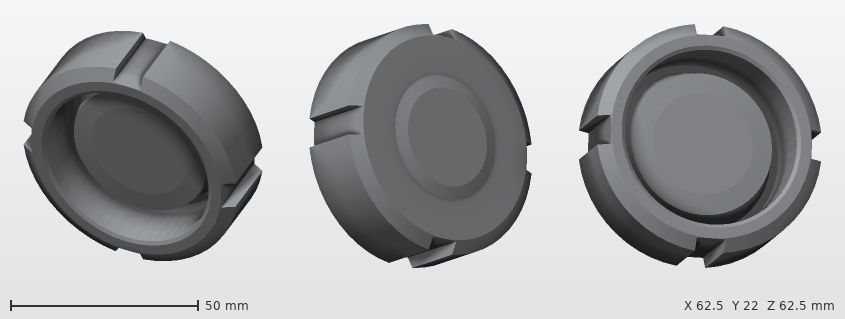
import cadquery as cq
import math

OUTER_DIAMETER = 63.0
BODY_LENGTH = 21.0
FACE_DIAMETER = 56.0
EDGE_CHAMFER_ANGLE = 30.0

BORE_DIAMETER = 48.1
BORE_MOUTH_DIAMETER = 50.1
BORE_LENGTH = 13.0
FLOOR_DEPTH = 18.0
BORE_CHAMFER_ANGLE = 30.0
RELIEF_DIAMETER = 5.5

PLUG_FLAT_DIAMETER = 28.0
PLUG_EDGE_DIAMETER = 39.0
PLUG_ROOT_DIAMETER = 44.0
PLUG_FLAT_DEPTH = 8.0
PLUG_EDGE_DEPTH = 8.5

CROWN_HEIGHT = 1.0
CROWN_STEP_HEIGHT = 0.1
CROWN_TOP_DIAMETER = 27.0
CROWN_BASE_DIAMETER = 34.2

SLOT_WIDTH = 8.0
SLOT_COUNT = 4

outer_radius = OUTER_DIAMETER / 2
face_radius = FACE_DIAMETER / 2
bore_radius = BORE_DIAMETER / 2
mouth_radius = BORE_MOUTH_DIAMETER / 2
plug_flat_radius = PLUG_FLAT_DIAMETER / 2
plug_edge_radius = PLUG_EDGE_DIAMETER / 2
plug_root_radius = PLUG_ROOT_DIAMETER / 2
crown_top_radius = CROWN_TOP_DIAMETER / 2
crown_base_radius = CROWN_BASE_DIAMETER / 2
total_length = BODY_LENGTH + CROWN_HEIGHT
edge_chamfer_length = (outer_radius - face_radius) * math.tan(math.radians(EDGE_CHAMFER_ANGLE))
mouth_chamfer_length = (mouth_radius - bore_radius) * math.tan(math.radians(BORE_CHAMFER_ANGLE))

relief_radius = RELIEF_DIAMETER / 2
relief_half_length = (FLOOR_DEPTH - BORE_LENGTH) / 2
relief_bulge = relief_radius - math.sqrt(relief_radius**2 - relief_half_length**2)


def turned_body():
    """Revolve the half section, given as (radius, depth), about the Y axis."""
    relief_middle = (bore_radius + relief_bulge, BORE_LENGTH + relief_half_length)
    section = (
        cq.Workplane("XY")
        .moveTo(0, PLUG_FLAT_DEPTH)
        .lineTo(plug_flat_radius, PLUG_FLAT_DEPTH)
        .lineTo(plug_edge_radius, PLUG_EDGE_DEPTH)
        .lineTo(plug_root_radius, FLOOR_DEPTH)
        .lineTo(bore_radius, FLOOR_DEPTH)
        .threePointArc(relief_middle, (bore_radius, BORE_LENGTH))
        .lineTo(bore_radius, mouth_chamfer_length)
        .lineTo(mouth_radius, 0)
        .lineTo(face_radius, 0)
        .lineTo(outer_radius, edge_chamfer_length)
        .lineTo(outer_radius, BODY_LENGTH - edge_chamfer_length)
        .lineTo(face_radius, BODY_LENGTH)
        .lineTo(crown_base_radius, BODY_LENGTH)
        .lineTo(crown_base_radius, BODY_LENGTH + CROWN_STEP_HEIGHT)
        .lineTo(crown_top_radius, total_length)
        .lineTo(0, total_length)
        .close()
    )
    return section.revolve(360, (0, 0, 0), (0, 1, 0))


def wrench_slot(angle):
    """Cutting box for one slot, turned about Y by the angle in degrees."""
    box = cq.Workplane("XY").box(SLOT_WIDTH, BODY_LENGTH, outer_radius, centered=(True, False, False))
    return box.translate((0, 0, face_radius)).rotate((0, 0, 0), (0, 1, 0), angle)


result = turned_body()
for slot_index in range(SLOT_COUNT):
    result = result.cut(wrench_slot(slot_index * 360 / SLOT_COUNT))